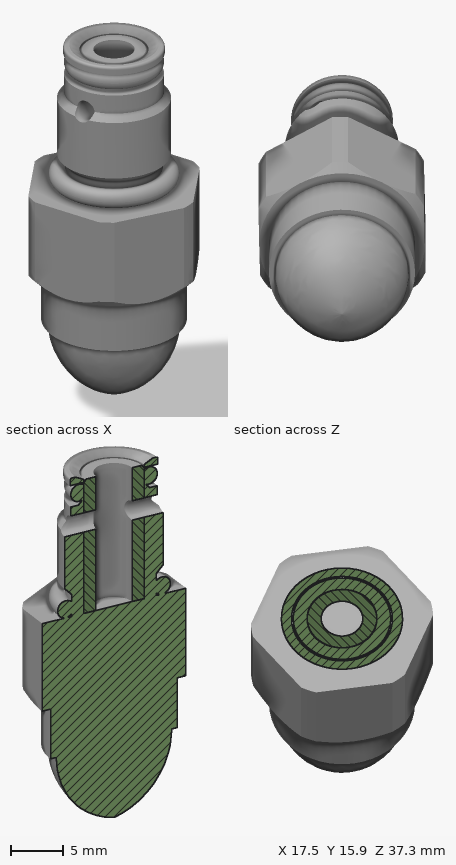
import cadquery as cq
import math

COLLAR_BOTTOM_Z = 7.9
HEX_BOTTOM_Z = 13.2
HEX_TOP_Z = 22.57
NECK_TOP_Z = 24.9
BARREL_BOTTOM_Z = 25.67
BARREL_TOP_Z = 31.65
CROSS_HOLE_Z = 32.25
SPIGOT_BOTTOM_Z = 32.3
SPIGOT_TOP_Z = 34.25
GROOVE_TOP_Z = 36.5
TOP_Z = 37.3

NOSE_RADIUS = 6.4
COLLAR_RADIUS = 7.0
NECK_RADIUS = 4.7
BARREL_RADIUS = 5.5
SPIGOT_RADIUS = 4.8
GROOVE_RADIUS = 3.45
GROOVE_CONE = 0.52
LIP_RADIUS = 4.9
LIP_FILLET = 0.25
NECK_FILLET = 0.3

HEX_ACROSS_FLATS = 15.9
HEX_CORNER_RADIUS = 8.75

RING_SECTION_RADIUS = 0.95
UPPER_RING_RADIUS = SPIGOT_RADIUS - RING_SECTION_RADIUS
UPPER_RING_Z = 35.52
LOWER_RING_RADIUS = 5.35
LOWER_RING_SEATING = 0.05
LOWER_RING_Z = HEX_TOP_Z + RING_SECTION_RADIUS - LOWER_RING_SEATING

MOUTH_RADIUS = 4.3
MOUTH_DEPTH = 0.5
SLEEVE_RADIUS = 3.32
SLEEVE_BORE_RADIUS = 1.98
SLEEVE_CHAMFER = 0.25
SLEEVE_TOP_Z = TOP_Z - MOUTH_DEPTH
CAVITY_FLOOR_Z = HEX_TOP_Z
CROSS_HOLE_DIAMETER = 2.0


def cylinder(radius, bottom_z, top_z):
    return cq.Workplane("XY").workplane(offset=bottom_z).circle(radius).extrude(top_z - bottom_z)


def revolve_about_z(profile):
    """Turn a closed XZ profile, drawn as (radius, z), about the Z axis."""
    return profile.close().revolve(360, (0, 0, 0), (0, 1, 0))


def cross_hole():
    return (
        cq.Workplane("XZ")
        .center(0, CROSS_HOLE_Z)
        .circle(CROSS_HOLE_DIAMETER / 2)
        .extrude(2 * BARREL_RADIUS, both=True)
    )


def nose_and_collar():
    """Collar with a pointed nose whose arc starts vertical at the collar."""
    arc_radius = (COLLAR_BOTTOM_Z**2 + NOSE_RADIUS**2) / (2 * NOSE_RADIUS)
    half_angle = math.asin(COLLAR_BOTTOM_Z / arc_radius) / 2
    arc_middle = (
        NOSE_RADIUS - arc_radius * (1 - math.cos(half_angle)),
        COLLAR_BOTTOM_Z - arc_radius * math.sin(half_angle),
    )
    return revolve_about_z(
        cq.Workplane("XZ")
        .moveTo(0, 0)
        .threePointArc(arc_middle, (NOSE_RADIUS, COLLAR_BOTTOM_Z))
        .lineTo(COLLAR_RADIUS, COLLAR_BOTTOM_Z)
        .lineTo(COLLAR_RADIUS, HEX_BOTTOM_Z)
        .lineTo(0, HEX_BOTTOM_Z)
    )


def hexagon():
    """Hexagon with corners trimmed round and a 45 degree chamfer underneath."""
    flat_radius = HEX_ACROSS_FLATS / 2
    corner_to_corner = HEX_ACROSS_FLATS / math.cos(math.pi / 6)
    prism = (
        cq.Workplane("XY")
        .workplane(offset=HEX_BOTTOM_Z)
        .polygon(6, corner_to_corner)
        .extrude(HEX_TOP_Z - HEX_BOTTOM_Z)
    )
    envelope = (
        cylinder(HEX_CORNER_RADIUS, HEX_BOTTOM_Z, HEX_TOP_Z)
        .faces("<Z")
        .chamfer(HEX_CORNER_RADIUS - flat_radius)
    )
    return prism.intersect(envelope)


def stem():
    """Stepped stem above the hexagon: neck, barrel, spigot, groove and lip."""
    fillet_reach = NECK_FILLET * math.tan(math.pi / 8)
    fillet_middle_angle = math.pi / 8
    fillet_start_z = NECK_TOP_Z - fillet_reach
    fillet_middle = (
        NECK_RADIUS + NECK_FILLET * (1 - math.cos(fillet_middle_angle)),
        fillet_start_z + NECK_FILLET * math.sin(fillet_middle_angle),
    )
    fillet_end = (
        NECK_RADIUS + fillet_reach * math.cos(math.pi / 4),
        NECK_TOP_Z + fillet_reach * math.sin(math.pi / 4),
    )
    lip_corner = (1 - math.sqrt(0.5)) * LIP_FILLET
    return revolve_about_z(
        cq.Workplane("XZ")
        .moveTo(0, HEX_TOP_Z)
        .lineTo(NECK_RADIUS, HEX_TOP_Z)
        .lineTo(NECK_RADIUS, fillet_start_z)
        .threePointArc(fillet_middle, fillet_end)
        .lineTo(BARREL_RADIUS, BARREL_BOTTOM_Z)
        .lineTo(BARREL_RADIUS, BARREL_TOP_Z)
        .lineTo(SPIGOT_RADIUS, SPIGOT_BOTTOM_Z)
        .lineTo(SPIGOT_RADIUS, SPIGOT_TOP_Z)
        .lineTo(GROOVE_RADIUS + GROOVE_CONE, SPIGOT_TOP_Z)
        .lineTo(GROOVE_RADIUS, SPIGOT_TOP_Z + GROOVE_CONE)
        .lineTo(GROOVE_RADIUS, GROOVE_TOP_Z)
        .lineTo(LIP_RADIUS, GROOVE_TOP_Z)
        .lineTo(LIP_RADIUS, TOP_Z - LIP_FILLET)
        .threePointArc((LIP_RADIUS - lip_corner, TOP_Z - lip_corner), (LIP_RADIUS - LIP_FILLET, TOP_Z))
        .lineTo(0, TOP_Z)
    )


def sealing_ring(ring_radius, z):
    ring = cq.Solid.makeTorus(ring_radius, RING_SECTION_RADIUS, cq.Vector(0, 0, z))
    return cq.Workplane("XY").newObject([ring])


def cavity():
    """Blind hole for the sleeve, flaring out to the mouth at the top."""
    return revolve_about_z(
        cq.Workplane("XZ")
        .moveTo(0, CAVITY_FLOOR_Z)
        .lineTo(SLEEVE_RADIUS, CAVITY_FLOOR_Z)
        .lineTo(SLEEVE_RADIUS, TOP_Z - MOUTH_DEPTH)
        .lineTo(MOUTH_RADIUS, TOP_Z)
        .lineTo(0, TOP_Z)
    )


def make_housing():
    outside = nose_and_collar().union(hexagon()).union(stem())
    outside = outside.union(sealing_ring(LOWER_RING_RADIUS, LOWER_RING_Z))
    outside = outside.union(sealing_ring(UPPER_RING_RADIUS, UPPER_RING_Z))
    return outside.cut(cavity()).cut(cross_hole())


def make_sleeve():
    """Tube standing on the cavity floor, with a chamfered outer top edge."""
    tube = cylinder(SLEEVE_RADIUS, CAVITY_FLOOR_Z, SLEEVE_TOP_Z).faces(">Z").chamfer(SLEEVE_CHAMFER)
    bore = cylinder(SLEEVE_BORE_RADIUS, CAVITY_FLOOR_Z, SLEEVE_TOP_Z)
    return tube.cut(bore).cut(cross_hole())


housing = make_housing()
sleeve = make_sleeve()

result = cq.Compound.makeCompound([housing.solids().val(), sleeve.solids().val()])